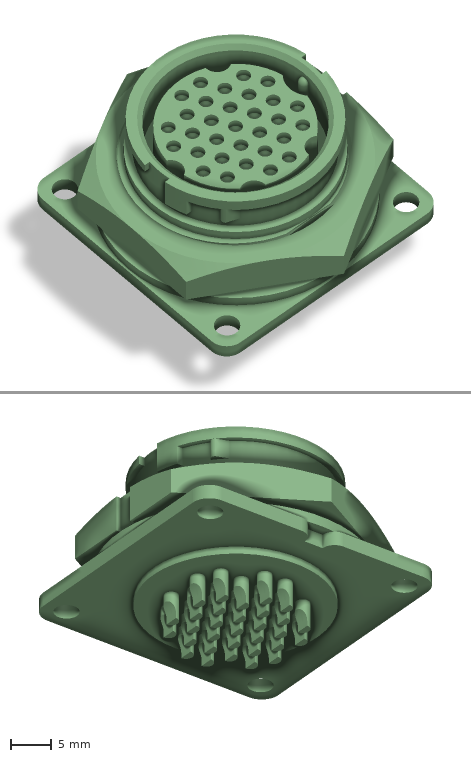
import cadquery as cq
import math


flange_top = 1.95
collar_top = 3.34
thread_top = 9.98
shoulder_top = 11.31
coupling_bottom = 15.27
shell_top = 16.89
back_boss_depth = 1.02
pin_length = 3.73

flange_size = 36.51
flange_corner_radius = 2.55
mount_hole_spacing = 30.16
mount_hole_diameter = 3.3
key_slot_width = 2.8
key_slot_depth = 1.85
key_slot_rounding = 1.8

back_boss_diameter = 25.5
collar_diameter = 36.0
shoulder_diameter = 27.94
barrel_radius = 12.92
coupling_radius = 13.72

thread_crest_radius = 14.87
thread_root_radius = 13.9
thread_pitch = 1.27
thread_crest_width = 0.13
thread_flank_angle = 30
first_crest_height = 3.94
thread_flat_x = 13.97

coupling_slot_half_width = 1.86
ramp_rise = 0.45
stop_end_x = 5.0
stop_bottom = 12.72
detent_nose_start = (8.27, -9.93)
detent_nose_crown = (8.68, -10.27)
detent_nose_end = (9.31, -10.05)
detent_heel = (9.94, -8.27)
detent_overlap = 0.1

bore_radius = 11.65
mouth_radius = 12.29
mouth_chamfer_depth = 0.65
socket_floor = 10.15
insert_radius = 10.28
insert_top = 15.3
insert_notch_radius = 1.8
insert_notch_center = 10.95
insert_notch_angles = (-90, -30, 30, 150)
wide_notch_radius = 3.5
wide_notch_center = 12.67
key_pin_radius = 0.74
key_pin_y = 11.54
key_pin_top = 14.75

contact_pitch = 3.175
column_pitch = contact_pitch * math.sin(math.radians(60))
contacts_per_column = {-3: 2, -2: 5, -1: 6, 0: 5, 1: 6, 2: 5, 3: 2}
contact_hole_diameter = 1.87
contact_hole_depth = 1.0
pin_radius = 0.98
cup_open_height = 0.7
cup_full_height = 2.44

nut_across_flats = 34.925
nut_bottom = 4.45
nut_height = 4.95
nut_bore_radius = 14.53
nut_chamfer_angle = 30
nut_slot_width = 2.86
nut_slot_floor_y = 16.8


def cylinder(radius, bottom, top):
    return cq.Workplane("XY").workplane(offset=bottom).circle(radius).extrude(top - bottom)


def block(x_min, x_max, y_min, y_max, z_min, z_max):
    size = (x_max - x_min, y_max - y_min, z_max - z_min)
    return cq.Workplane("XY").box(*size, centered=False).translate((x_min, y_min, z_min))


def helical_sweep(profile, pitch, turns, radius):
    """Sweep a closed (radius, height) profile up a right-hand helix that starts on +X."""
    helix = cq.Workplane(cq.Wire.makeHelix(pitch, pitch * turns, radius))
    return cq.Workplane("XZ").polyline(profile).close().sweep(helix, isFrenet=True)


def half_turned(shape):
    return shape.rotate((0, 0, 0), (0, 0, 1), 180)



def make_flange():
    flange = cq.Workplane("XY").rect(flange_size, flange_size).extrude(flange_top)
    flange = flange.edges("|Z").fillet(flange_corner_radius)
    flange = (
        flange.faces(">Z").workplane()
        .rect(mount_hole_spacing, mount_hole_spacing, forConstruction=True)
        .vertices().hole(mount_hole_diameter)
    )
    edge_x = -flange_size / 2
    half_width = key_slot_width / 2
    slot = block(edge_x, edge_x + key_slot_depth, -half_width, half_width, 0, flange_top)
    flange = flange.cut(slot)
    margin = 0.1
    mouth = cq.selectors.BoxSelector(
        (edge_x - margin, -half_width - margin, -margin),
        (edge_x + margin, half_width + margin, flange_top + margin),
    )
    return flange.edges("|Z").edges(mouth).fillet(key_slot_rounding)


def make_thread():
    flank_height = (thread_crest_radius - thread_root_radius) * math.tan(math.radians(thread_flank_angle))
    crest_half = thread_crest_width / 2
    embed = 0.3
    root_half = crest_half + flank_height
    ridge_profile = [
        (thread_root_radius - embed, -root_half),
        (thread_root_radius, -root_half),
        (thread_crest_radius, -crest_half),
        (thread_crest_radius, crest_half),
        (thread_root_radius, root_half),
        (thread_root_radius - embed, root_half),
    ]
    thread_start = first_crest_height - 2 * thread_pitch
    turns = math.ceil((thread_top - thread_start) / thread_pitch) + 1
    ridge = helical_sweep(ridge_profile, thread_pitch, turns, thread_root_radius)
    ridge = ridge.translate((0, 0, thread_start))
    reach = collar_diameter / 2
    envelope = block(-reach, thread_flat_x, -reach, reach, collar_top, thread_top)
    core = cylinder(thread_root_radius, collar_top, thread_top)
    return core.union(ridge.intersect(envelope))


def make_bayonet_ramp_cut():
    """Quarter-turn cut that thins the coupling ring from -X towards the -Y slot."""
    cut_depth = 1.5
    inner = barrel_radius - 0.3
    outer = coupling_radius + 0.5
    profile = [
        (inner, -cut_depth), (outer, -cut_depth), (outer, 0), (inner, 0),
    ]
    quarter = 0.25
    ramp = helical_sweep(profile, ramp_rise / quarter, quarter, barrel_radius)
    return half_turned(ramp).translate((0, 0, coupling_bottom))


def make_stop():
    """Stop wall that hangs below the coupling ring beside the -Y slot."""
    inner_y = -coupling_radius / 2
    sector = block(
        coupling_slot_half_width, stop_end_x, -coupling_radius, inner_y, stop_bottom, shell_top
    )
    return cylinder(coupling_radius, stop_bottom, shell_top).intersect(sector)


def make_detent():
    """Small rounded detent below the coupling ring, next to the stop."""
    return (
        cq.Workplane("XY").workplane(offset=stop_bottom)
        .moveTo(*detent_nose_start)
        .threePointArc(detent_nose_crown, detent_nose_end)
        .lineTo(*detent_heel)
        .close()
        .extrude(coupling_bottom + detent_overlap - stop_bottom)
    )


def make_coupling_ring():
    ring = cylinder(coupling_radius, coupling_bottom, shell_top)
    ramp = make_bayonet_ramp_cut()
    ring = ring.cut(ramp).cut(half_turned(ramp))
    slot_half = coupling_slot_half_width
    reach = coupling_radius + 1
    slot = block(-slot_half, slot_half, -reach, reach, coupling_bottom, shell_top)
    ring = ring.cut(slot)
    for feature in (make_stop(), make_detent()):
        ring = ring.union(feature).union(half_turned(feature))
    return ring


def make_socket():
    return (
        cq.Workplane("XZ")
        .moveTo(0, socket_floor)
        .lineTo(bore_radius, socket_floor)
        .lineTo(bore_radius, shell_top - mouth_chamfer_depth)
        .lineTo(mouth_radius, shell_top)
        .lineTo(0, shell_top)
        .close()
        .revolve(360, (0, 0, 0), (0, 1, 0))
    )


def contact_points():
    points = []
    for column, count in contacts_per_column.items():
        for row in range(count):
            points.append((column * column_pitch, (row - (count - 1) / 2) * contact_pitch))
    return points


def make_insert():
    insert = cylinder(insert_radius, socket_floor, insert_top)
    for angle in insert_notch_angles:
        notch = cylinder(insert_notch_radius, socket_floor, insert_top)
        notch = notch.translate((insert_notch_center, 0, 0)).rotate((0, 0, 0), (0, 0, 1), angle)
        insert = insert.cut(notch)
    wide_notch = cylinder(wide_notch_radius, socket_floor, insert_top)
    insert = insert.cut(wide_notch.translate((0, wide_notch_center, 0)))
    holes = (
        cq.Workplane("XY").workplane(offset=insert_top)
        .pushPoints(contact_points())
        .circle(contact_hole_diameter / 2)
        .extrude(-contact_hole_depth)
    )
    return insert.cut(holes)


def make_key_pin():
    pin = cylinder(key_pin_radius, socket_floor, key_pin_top)
    dome = cq.Workplane("XY").sphere(key_pin_radius).translate((0, 0, key_pin_top))
    return pin.union(dome).translate((0, key_pin_y, 0))


def make_solder_pin():
    """Round pin whose +Y half is scooped away at the tip, centred on the Z axis."""
    tip = -back_boss_depth - pin_length
    rise = cup_full_height - cup_open_height
    scoop_radius = (pin_radius**2 + rise**2) / (2 * pin_radius)
    half_sweep = math.asin(rise / scoop_radius) / 2
    scoop_start = tip + cup_open_height
    arc_middle = (
        scoop_radius * (1 - math.cos(half_sweep)),
        scoop_start + scoop_radius * math.sin(half_sweep),
    )
    scoop = (
        cq.Workplane("YZ")
        .moveTo(0, tip)
        .lineTo(0, scoop_start)
        .threePointArc(arc_middle, (pin_radius, tip + cup_full_height))
        .lineTo(2 * pin_radius, tip + cup_full_height)
        .lineTo(2 * pin_radius, tip)
        .close()
        .extrude(pin_radius * 2, both=True)
    )
    return cylinder(pin_radius, tip, -back_boss_depth).cut(scoop)


def make_receptacle():
    shell = make_flange()
    shell = shell.union(cylinder(back_boss_diameter / 2, -back_boss_depth, 0))
    shell = shell.union(cylinder(collar_diameter / 2, flange_top, collar_top))
    shell = shell.union(make_thread())
    shell = shell.union(cylinder(shoulder_diameter / 2, thread_top, shoulder_top))
    shell = shell.union(cylinder(barrel_radius, shoulder_top, shell_top))
    shell = shell.union(make_coupling_ring())
    shell = shell.cut(make_socket())
    shell = shell.union(make_insert())
    shell = shell.union(make_key_pin())
    pin = make_solder_pin()
    for x, y in contact_points():
        shell = shell.union(pin.translate((x, y, 0)))
    return shell



def make_nut():
    corner_radius = nut_across_flats / math.sqrt(3)
    flat_radius = nut_across_flats / 2
    hexagon = cq.Workplane("XY").polygon(6, 2 * corner_radius).extrude(nut_height)
    corner_drop = (corner_radius - flat_radius) * math.tan(math.radians(nut_chamfer_angle))
    chamfer_envelope = (
        cq.Workplane("XZ")
        .lineTo(corner_radius, 0)
        .lineTo(corner_radius, nut_height - corner_drop)
        .lineTo(flat_radius, nut_height)
        .lineTo(0, nut_height)
        .close()
        .revolve(360, (0, 0, 0), (0, 1, 0))
    )
    nut = hexagon.intersect(chamfer_envelope)
    nut = nut.cut(cylinder(nut_bore_radius, 0, nut_height))
    slot = block(
        -nut_slot_width / 2, nut_slot_width / 2, nut_slot_floor_y, nut_across_flats, 0, nut_height
    )
    nut = nut.cut(slot).translate((0, 0, nut_bottom))
    return nut.cut(make_thread())


receptacle = make_receptacle()
nut = make_nut()

result = cq.Compound.makeCompound([receptacle.solids().val(), nut.solids().val()])